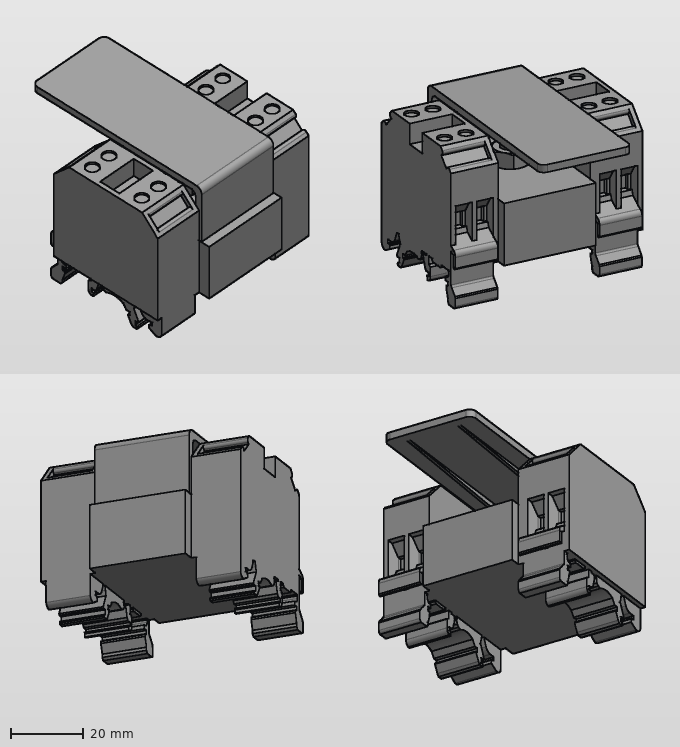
import cadquery as cq
import math


HOUSING_LENGTH = 39.9
HOUSING_HEIGHT = 35.9
BEVEL = 6.0
BODY_WIDTH = 13.45
END_PLATE = 1.55

GROOVE_LOW = 0.95
GROOVE_HIGH = 5.0
GROOVE_LIP = 1.2
GROOVE_WALL = 0.5

NOTCH_START = 16.4
NOTCH_END = 23.7
NOTCH_DEPTH = 6.25

SCREW_DIAMETER = 4.3
SCREW_DEPTH = 0.7
SCREW_X = (10.55, 29.5)
SCREW_EDGE = 3.8

POCKET_PITCH = BODY_WIDTH / 2
POST_WIDTH = 1.5
POCKET_TAPER = 0.9
CLAMP_START = POST_WIDTH + POCKET_TAPER
CLAMP_WIDTH = 3.4
CLAMP_DEPTH = 1.35
POCKET_TOP = 19.7
POCKET_BACK = 3.9
CEILING_BREAK = 1.5
CEILING_DROP = 0.4
SHELF_Z = 8.0
SHELF_SLOPE = 0.6
SHELF_LENGTH = 2.7
LEDGE_START = 3.2
LEDGE_Z = 11.2
BACK_TOP = 15.85

HOOK_RIB_BOTTOM = 2.5

BLOCK_LEFT = -3.25
BLOCK_LENGTH = 47.05
BLOCK_WIDTH = 29.1
BLOCK_HEIGHT = 18.9

COVER_LEFT = -24.2
COVER_RIGHT = 40.8
COVER_TOP = 38.3
COVER_THICKNESS = 2.3
COVER_WIDTH = 28.8
COVER_RADIUS = 2.05
RIB_WIDTH = 0.95
RIB_SPACING = 16.6
RIB_LEFT = -20.8
RIB_DEPTH = 2.3
RIB_WALL = 2.7

STUD_X = BLOCK_LEFT + BLOCK_LENGTH / 2
STUD_Y = -0.4
STUD_DIAMETER = 6.0
STUD_HEIGHT = 11.2
NUT_GAP = 0.35
NUT_HEIGHT = 4.9
NUT_ACROSS_FLATS = 10.2
NUT_TURN = 40
NUT_CHAMFER_HEIGHT = 0.4
NUT_CHAMFER_WIDTH = 0.8


def extrude_outline(start, steps, y_high, width):
    """Extrude an XZ outline toward -Y. A step is a point, or (middle, end) of an arc."""
    sketch = cq.Workplane("XZ", origin=(0, y_high, 0)).moveTo(*start)
    for step in steps:
        if isinstance(step[0], tuple):
            sketch = sketch.threePointArc(*step)
        else:
            sketch = sketch.lineTo(*step)
    return sketch.close().extrude(width)


def box(x, y, z):
    """Box from three (low, high) ranges."""
    size = [high - low for low, high in (x, y, z)]
    return cq.Workplane("XY").box(*size, centered=False).translate((x[0], y[0], z[0]))


def housing_plate(y_high, width):
    """Slab with the housing outline: a rectangle with both top corners bevelled."""
    shoulder = HOUSING_HEIGHT - BEVEL
    steps = [
        (0, shoulder),
        (BEVEL, HOUSING_HEIGHT),
        (HOUSING_LENGTH - BEVEL, HOUSING_HEIGHT),
        (HOUSING_LENGTH, shoulder),
        (HOUSING_LENGTH, 0),
    ]
    return extrude_outline((0, 0), steps, y_high, width)


def bevel_groove(y_high):
    """Cutter for the groove in the left bevel; both lips are quarter rounds."""
    base = HOUSING_HEIGHT - BEVEL
    low_z = base + GROOVE_LOW
    high_z = base + GROOVE_HIGH
    half = GROOVE_LIP / 2
    bulge = half * math.tan(math.radians(45 / 2))
    lip_end = GROOVE_LOW + GROOVE_LIP
    upper_lip_end = high_z - GROOVE_LIP
    steps = [
        ((GROOVE_LOW + half, low_z + bulge), (lip_end, low_z)),
        (lip_end + GROOVE_WALL, low_z - GROOVE_WALL),
        (GROOVE_HIGH + GROOVE_WALL, upper_lip_end - GROOVE_WALL),
        (GROOVE_HIGH, upper_lip_end),
        ((GROOVE_HIGH - bulge, high_z - half), (GROOVE_HIGH, high_z)),
        (GROOVE_LOW, high_z),
    ]
    return extrude_outline((GROOVE_LOW, low_z), steps, y_high, BODY_WIDTH)


def wire_pocket(y_high):
    """Cutter for one wire pocket with a sloping shelf, a ledge and a tapered +Y wall."""
    width = POCKET_PITCH - POST_WIDTH
    steps = [
        (SHELF_LENGTH, SHELF_Z + SHELF_LENGTH * SHELF_SLOPE),
        (LEDGE_START, LEDGE_Z),
        (POCKET_BACK, LEDGE_Z),
        (POCKET_BACK, BACK_TOP),
        (CEILING_BREAK, POCKET_TOP - CEILING_DROP),
        (0, POCKET_TOP),
    ]
    pocket = extrude_outline((0, SHELF_Z), steps, y_high, width)
    tapered_sides = (
        cq.Workplane("XY")
        .polyline([
            (0, y_high),
            (POCKET_BACK, y_high - POCKET_TAPER),
            (POCKET_BACK, y_high - width),
            (0, y_high - width),
        ])
        .close()
        .extrude(HOUSING_HEIGHT)
    )
    clamp_high = y_high + POST_WIDTH - CLAMP_START
    clamp_opening = box(
        (POCKET_BACK, POCKET_BACK + CLAMP_DEPTH),
        (clamp_high - CLAMP_WIDTH, clamp_high),
        (LEDGE_Z, BACK_TOP),
    )
    return pocket.intersect(tapered_sides).union(clamp_opening)


def hook_lip(y_high):
    """Downturned lip in front of the wire pockets, with a rib behind it."""
    back = -1.35
    lip_root = (0, 6.25)
    inner_corner = (back, 5.65)
    steps = [
        (back, SHELF_Z + back * SHELF_SLOPE),
        ((-2.25, 6.6), (-2.5, 5.5)),
        (-2.5, 2.05),
        (-2.2, 1.6),
        (-1.6, 1.6),
        (back, 2.0),
        inner_corner,
        lip_root,
    ]
    lip = extrude_outline((0, SHELF_Z), steps, y_high, BODY_WIDTH)
    rib_steps = [inner_corner, (back, HOOK_RIB_BOTTOM), (0, HOOK_RIB_BOTTOM)]
    rib = extrude_outline(lip_root, rib_steps, y_high - POCKET_PITCH, POST_WIDTH)
    return lip.union(rib)


def latch_foot(y_high):
    """Long outer foot with a swollen tip."""
    steps = [
        (0, -3.8),
        ((-0.15, -4.2), (-0.4, -4.5)),
        (-2.3, -6.5), (-2.5, -7.0), (-2.5, -9.3),
        ((-2.3, -10.0), (-1.85, -10.35)),
        (1.2, -10.35), (1.85, -9.6), (1.85, -8.65), (2.8, -5.8), (2.8, -5.1),
        (2.2, -5.0), (1.85, -4.6), (1.85, -3.7), (3.25, -3.7), (3.25, -2.5), (2.6, -2.45),
        ((1.7, -2.0), (1.35, -1.0)),
        (1.35, -0.35), (1.7, 0),
    ]
    return extrude_outline((0, 0), steps, y_high, BODY_WIDTH)


def low_pad(y_high):
    """Shallow pad with chamfered lower edges."""
    steps = [(5.5, -0.4), (6.05, -0.95), (10.4, -0.95), (10.95, -0.4), (10.95, 0)]
    return extrude_outline((5.5, 0), steps, y_high, BODY_WIDTH)


def left_rail_claw(y_high):
    """Narrow claw that grips a rail from the left."""
    steps = [
        (12.7, -2.5), (11.75, -3.0), (11.75, -5.8),
        ((12.05, -6.95), (12.9, -7.6)),
        (13.7, -7.6), (13.7, -6.65), (13.9, -6.25), (12.9, -6.25), (12.9, -5.1),
        (14.35, -5.1), (14.95, -4.35), (16.0, -0.95), (15.7, -0.5), (14.3, -0.4), (14.3, 0),
    ]
    return extrude_outline((12.7, 0), steps, y_high, BODY_WIDTH)


def middle_rail_claw(y_high):
    """Wide arched foot that ends in a double claw."""
    steps = [
        (17.1, -0.5), (16.8, -1.0), (17.1, -2.3), (17.75, -3.0), (18.8, -3.25),
        ((22.0, -2.5), (25.15, -3.4)),
        (26.4, -5.1), (27.7, -5.1), (27.7, -6.3), (27.05, -6.25), (26.9, -6.6),
        (28.15, -8.9), (28.8, -9.7), (30.4, -9.7), (30.75, -9.3), (30.4, -8.8),
        (29.7, -8.65), (29.7, -7.15), (30.9, -7.15), (31.15, -6.7), (29.25, -2.85),
        (29.65, -1.3), (30.05, 0),
    ]
    return extrude_outline((16.8, 0), steps, y_high, BODY_WIDTH)


def right_rail_claw(y_high):
    """Outer claw that grips a rail from the right."""
    steps = [
        (32.15, -2.5),
        ((33.05, -3.55), (34.2, -3.95)),
        (36.25, -3.95), (36.25, -5.1), (35.35, -5.1), (35.0, -5.45), (35.0, -6.45), (37.5, -7.75),
        ((39.0, -7.55), (HOUSING_LENGTH, -6.3)),
        (HOUSING_LENGTH, 0),
    ]
    return extrude_outline((31.1, 0), steps, y_high, BODY_WIDTH)


def terminal_bank(y_high):
    """Two-pole terminal body whose +Y face lies at y_high."""
    body = housing_plate(y_high, BODY_WIDTH)

    groove = bevel_groove(y_high)
    middle = (HOUSING_LENGTH / 2, 0, 0)
    body = body.cut(groove).cut(groove.mirror("YZ", middle))

    notch = box(
        (NOTCH_START, NOTCH_END),
        (y_high - BODY_WIDTH, y_high),
        (HOUSING_HEIGHT - NOTCH_DEPTH, HOUSING_HEIGHT),
    )
    body = body.cut(notch)

    for pole in range(2):
        pole_high = y_high - pole * POCKET_PITCH
        screw_points = [(x, pole_high - SCREW_EDGE) for x in SCREW_X]
        screw_holes = (
            cq.Workplane("XY", origin=(0, 0, HOUSING_HEIGHT - SCREW_DEPTH))
            .pushPoints(screw_points)
            .circle(SCREW_DIAMETER / 2)
            .extrude(SCREW_DEPTH)
        )
        body = body.cut(screw_holes).cut(wire_pocket(pole_high - POST_WIDTH))

    attachments = (
        hook_lip, latch_foot, low_pad, left_rail_claw, middle_rail_claw, right_rail_claw,
    )
    for attachment in attachments:
        body = body.union(attachment(y_high))
    return body


def cover():
    """L-shaped plate with a rounded bend, rounded free corners and two stiffening ribs."""
    inner_right = COVER_RIGHT - COVER_THICKNESS
    inner_top = COVER_TOP - COVER_THICKNESS
    half_width = COVER_WIDTH / 2
    outer = box(
        (COVER_LEFT, COVER_RIGHT), (-half_width, half_width), (BLOCK_HEIGHT, COVER_TOP)
    ).edges("|Y and >X and >Z").fillet(COVER_RADIUS)
    inner = box(
        (COVER_LEFT, inner_right), (-half_width, half_width), (BLOCK_HEIGHT, inner_top)
    ).edges("|Y and >X and >Z").fillet(COVER_RADIUS)
    plate = outer.cut(inner).edges("|Z and <X").fillet(COVER_RADIUS)

    rib_face = inner_right - RIB_WALL
    rib_steps = [
        (rib_face, inner_top - RIB_DEPTH),
        (rib_face, BLOCK_HEIGHT),
        (inner_right, BLOCK_HEIGHT),
        (inner_right, inner_top),
    ]
    for side in (-1, 1):
        rib_high = side * RIB_SPACING / 2 + RIB_WIDTH / 2
        plate = plate.union(extrude_outline((RIB_LEFT, inner_top), rib_steps, rib_high, RIB_WIDTH))
    return plate


def stud_and_nut():
    """Plain round stud carrying a hexagon nut with chamfered corners."""
    stud = cq.Workplane("XY").circle(STUD_DIAMETER / 2).extrude(STUD_HEIGHT)
    across_corners = NUT_ACROSS_FLATS / math.cos(math.radians(30))
    hexagon = (
        cq.Workplane("XY", origin=(0, 0, NUT_GAP))
        .polygon(6, across_corners)
        .extrude(NUT_HEIGHT)
        .rotate((0, 0, 0), (0, 0, 1), NUT_TURN)
    )
    envelope = (
        cq.Workplane("XY", origin=(0, 0, NUT_GAP))
        .circle(across_corners / 2)
        .extrude(NUT_HEIGHT)
        .faces("<Z or >Z")
        .chamfer(NUT_CHAMFER_HEIGHT, NUT_CHAMFER_WIDTH)
    )
    nut = hexagon.intersect(envelope)
    return stud.union(nut).translate((STUD_X, STUD_Y, BLOCK_HEIGHT))


half_block = BLOCK_WIDTH / 2
block = box(
    (BLOCK_LEFT, BLOCK_LEFT + BLOCK_LENGTH), (-half_block, half_block), (0, BLOCK_HEIGHT)
)
result = block.union(cover()).union(stud_and_nut())

bank_offset = half_block + END_PLATE
result = result.union(housing_plate(bank_offset, END_PLATE))
result = result.union(terminal_bank(bank_offset + BODY_WIDTH))
result = result.union(housing_plate(-half_block, END_PLATE))
result = result.union(terminal_bank(-bank_offset))
result = result.union(housing_plate(-bank_offset - BODY_WIDTH, END_PLATE))